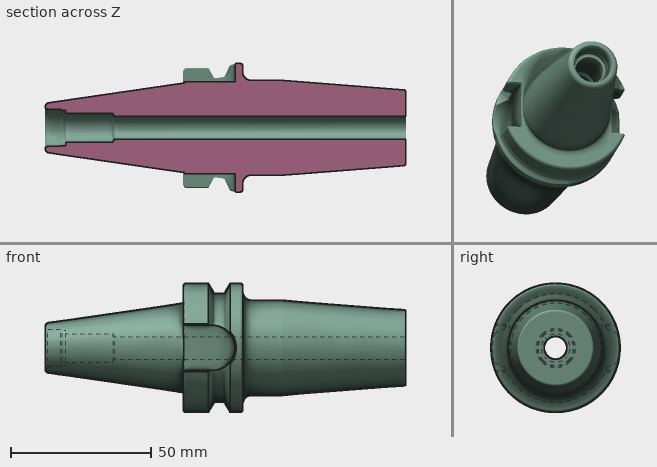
import cadquery as cq
import math


gauge_diameter = 31.75
taper_per_length = 7 / 24
shank_length = 48.4
shank_end_fillet = 1.5

flange_diameter = 46.0
flange_start = 0.75
flange_end = 22.0
flange_front_fillet = 1.15
flange_back_fillet = 1.0
relief_diameter = 33.5
relief_depth = 0.2
groove_floor_diameter = 38.8
groove_floor_start = 11.75
groove_floor_end = 15.4
groove_wall_angle = 30.0
groove_floor_fillet = 0.5

nose_end = 80.0
nose_diameter = 34.0
nose_taper_length = 44.2
nose_taper_angle = 4.5
nose_end_fillet = 0.7
neck_fillet = 2.9

slot_width = 16.1
slot_floor_offset = 16.4
slot_end = 19.1
slot_edge_chamfer = 0.5

mouth_diameter = 14.0
pilot_diameter = 13.1
pilot_depth = 5.4
thread_diameter = 12.5
thread_depth = 7.2
core_diameter = 10.11
core_depth = 24.0
through_diameter = 8.0
mouth_half_angle = 30.0
pilot_end_half_angle = 30.0
core_end_half_angle = 60.0

match_tolerance = 0.01

shank_end = -shank_length
flange_radius = flange_diameter / 2
nose_radius = nose_diameter / 2


def taper_radius(x):
    """Radius of the shank taper at the position x along the axis."""
    return (gauge_diameter + taper_per_length * x) / 2


def cone_length(large_diameter, small_diameter, half_angle):
    """Axial length of a bore cone between two diameters."""
    return (large_diameter - small_diameter) / 2 / math.tan(math.radians(half_angle))


def revolve_about_x(points):
    """Solid of revolution from (x, radius) points of a closed half section."""
    return cq.Workplane("XY").polyline(points).close().revolve(360, (0, 0, 0), (1, 0, 0))


def ring_edges(body, x, radius):
    """The circular edges about the axis at position x with the given radius."""
    low = (x - match_tolerance, -radius - match_tolerance, -radius - match_tolerance)
    high = (x + match_tolerance, radius + match_tolerance, radius + match_tolerance)
    inner = radius - match_tolerance
    return body.edges(cq.selectors.BoxSelector(low, high, boundingbox=True)).filter(
        lambda edge: edge.geomType() == "CIRCLE" and edge.radius() > inner
    )


def make_body():
    """Shank, flange and nose as one turned solid with rounded edges."""
    floor_radius = groove_floor_diameter / 2
    relief_floor = flange_start + relief_depth
    wall_run = (flange_radius - floor_radius) * math.tan(math.radians(groove_wall_angle))
    nose_taper_start = nose_end - nose_taper_length
    nose_end_radius = nose_radius - nose_taper_length * math.tan(math.radians(nose_taper_angle))
    body = revolve_about_x([
        (shank_end, 0),
        (shank_end, taper_radius(shank_end)),
        (relief_floor, taper_radius(relief_floor)),
        (relief_floor, relief_diameter / 2),
        (flange_start, relief_diameter / 2),
        (flange_start, flange_radius),
        (groove_floor_start - wall_run, flange_radius),
        (groove_floor_start, floor_radius),
        (groove_floor_end, floor_radius),
        (groove_floor_end + wall_run, flange_radius),
        (flange_end, flange_radius),
        (flange_end, nose_radius),
        (nose_taper_start, nose_radius),
        (nose_end, nose_end_radius),
        (nose_end, 0),
    ])
    roundings = [
        (shank_end, taper_radius(shank_end), shank_end_fillet),
        (flange_start, flange_radius, flange_front_fillet),
        (groove_floor_start, floor_radius, groove_floor_fillet),
        (groove_floor_end, floor_radius, groove_floor_fillet),
        (flange_end, flange_radius, flange_back_fillet),
        (flange_end, nose_radius, neck_fillet),
        (nose_end, nose_end_radius, nose_end_fillet),
    ]
    for x, radius, fillet in roundings:
        body = ring_edges(body, x, radius).fillet(fillet)
    return body


def make_drive_slot():
    """Round-ended slot cutter on the +Y side, open towards the shank."""
    half_width = slot_width / 2
    slot_start = flange_start - flange_front_fillet
    centre_x = slot_end - half_width
    return (
        cq.Workplane("XZ", origin=(0, slot_floor_offset, 0))
        .moveTo(slot_start, -half_width)
        .lineTo(centre_x, -half_width)
        .threePointArc((slot_end, 0), (centre_x, half_width))
        .lineTo(slot_start, half_width)
        .close()
        .extrude(-flange_radius)
    )


def make_bore():
    """Countersunk stepped bore that narrows from the shank end to the through hole."""
    mouth_end = shank_end + cone_length(mouth_diameter, pilot_diameter, mouth_half_angle)
    pilot_end = shank_end + pilot_depth
    thread_start = pilot_end + cone_length(pilot_diameter, thread_diameter, pilot_end_half_angle)
    thread_end = shank_end + thread_depth
    core_end = shank_end + core_depth
    through_start = core_end + cone_length(core_diameter, through_diameter, core_end_half_angle)
    return revolve_about_x([
        (shank_end, 0),
        (shank_end, mouth_diameter / 2),
        (mouth_end, pilot_diameter / 2),
        (pilot_end, pilot_diameter / 2),
        (thread_start, thread_diameter / 2),
        (thread_end, thread_diameter / 2),
        (thread_end, core_diameter / 2),
        (core_end, core_diameter / 2),
        (through_start, through_diameter / 2),
        (nose_end, through_diameter / 2),
        (nose_end, 0),
    ])


def is_slot_rim(edge):
    """True for the edges of a drive slot on the flange front face and on the outer cylinder."""
    half_width = slot_width / 2
    wall_reach = math.sqrt(flange_radius**2 - half_width**2)
    land_start = flange_start + flange_front_fillet
    box = edge.BoundingBox()

    farthest_z = max(abs(box.zmin), abs(box.zmax))
    nearest_z = min(abs(box.zmin), abs(box.zmax))
    nearest_y = min(abs(box.ymin), abs(box.ymax))
    if farthest_z > half_width + match_tolerance:
        return False

    on_wall = nearest_z > half_width - match_tolerance
    on_cylinder = nearest_y > wall_reach - match_tolerance
    above_floor = nearest_y > slot_floor_offset - match_tolerance
    on_front_face = above_floor and box.xmax < flange_start + match_tolerance
    on_land = on_cylinder and land_start - match_tolerance < box.xmin < groove_floor_start
    within_end = groove_floor_end < box.xmin and box.xmax < slot_end + match_tolerance
    on_round_end = on_cylinder and within_end
    return on_wall and (on_front_face or on_land) or on_round_end


drive_slot = make_drive_slot()
result = make_body().cut(make_bore()).cut(drive_slot).cut(drive_slot.mirror("XZ"))
result = result.edges().filter(is_slot_rim).chamfer(slot_edge_chamfer)